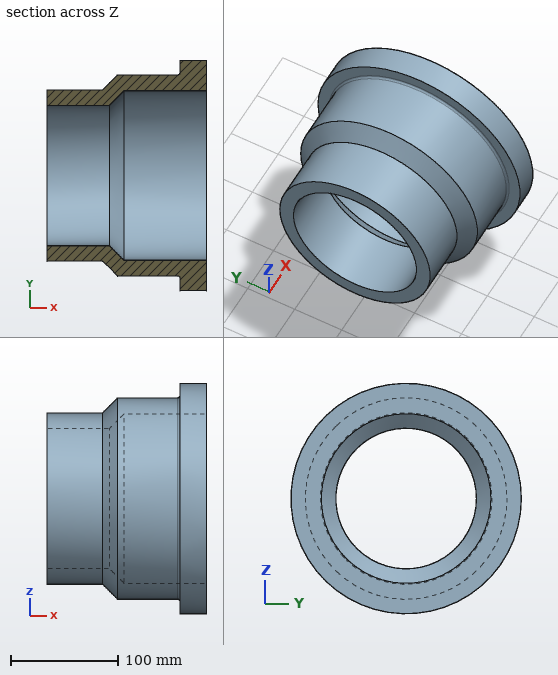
import cadquery as cq


neck_diameter = 160.0
body_diameter = 188.0
flange_diameter = 215.0

neck_bore_diameter = 130.8
body_bore_diameter = 158.0

total_length = 149.0
neck_length = 52.0
flange_thickness = 25.0
body_bore_length = 77.0

flange_root_fillet = 2.0

neck_radius = neck_diameter / 2
body_radius = body_diameter / 2
flange_radius = flange_diameter / 2
neck_bore_radius = neck_bore_diameter / 2
body_bore_radius = body_bore_diameter / 2

outer_cone_length = body_radius - neck_radius
inner_cone_length = body_bore_radius - neck_bore_radius

outer_cone_end = neck_length + outer_cone_length
inner_cone_end = total_length - body_bore_length
inner_cone_start = inner_cone_end - inner_cone_length
flange_start = total_length - flange_thickness


def revolve_about_x(profile):
    """Turn a closed XY profile a full revolution about the X axis."""
    return profile.close().revolve(360, (0, 0, 0), (1, 0, 0))


def make_outer_body():
    """Solid neck, cone, body and flange, with a fillet at the flange root."""
    profile = (
        cq.Workplane("XY")
        .moveTo(0, 0)
        .lineTo(0, neck_radius)
        .lineTo(neck_length, neck_radius)
        .lineTo(outer_cone_end, body_radius)
        .lineTo(flange_start - flange_root_fillet, body_radius)
        .radiusArc((flange_start, body_radius + flange_root_fillet), -flange_root_fillet)
        .lineTo(flange_start, flange_radius)
        .lineTo(total_length, flange_radius)
        .lineTo(total_length, 0)
    )
    return revolve_about_x(profile)


def make_bore():
    """Through bore that widens in a cone from the neck to the body."""
    profile = (
        cq.Workplane("XY")
        .moveTo(0, 0)
        .lineTo(0, neck_bore_radius)
        .lineTo(inner_cone_start, neck_bore_radius)
        .lineTo(inner_cone_end, body_bore_radius)
        .lineTo(total_length, body_bore_radius)
        .lineTo(total_length, 0)
    )
    return revolve_about_x(profile)


result = make_outer_body().cut(make_bore())